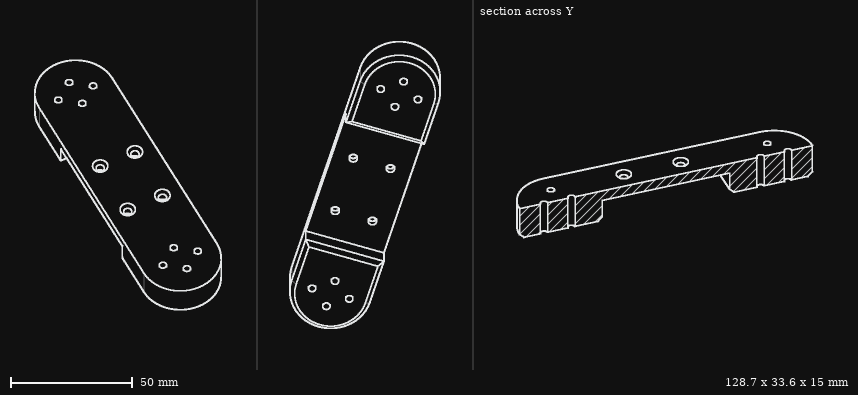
import cadquery as cq

length = 128.65
width = 33.65
height = 15.0
end_radius = width / 2
end_centre_x = length / 2 - end_radius

web_thickness = 5.0
recess_length = 55.75
foot_chamfer = 2.0

screw_diameter = 3.0
diamond_half_x = 6.0
diamond_half_y = 8.0

mount_diameter = 3.4
countersink_diameter = 6.3
countersink_angle = 90.0
mount_spacing_x = 25.0
mount_spacing_y = 16.0
mount_centre_x = 3.0


def make_body():
    """Rounded bar with a full-width recess and chamfered feet."""
    bar = cq.Workplane("XY").slot2D(length, width).extrude(height)
    recess = cq.Workplane("XY").box(
        recess_length, width, height - web_thickness, centered=(True, True, False)
    )
    return bar.cut(recess).faces("<Z").edges().chamfer(foot_chamfer)


def drill_end_holes(body, centre_x):
    """Drill the diamond of plain through holes at one end."""
    centres = [
        (centre_x - diamond_half_x, 0),
        (centre_x + diamond_half_x, 0),
        (centre_x, -diamond_half_y),
        (centre_x, diamond_half_y),
    ]
    top = cq.Workplane("XY", origin=(0, 0, height))
    holes = top.pushPoints(centres).circle(screw_diameter / 2).extrude(-height)
    return body.cut(holes)


def drill_mount_holes(body):
    """Drill the rectangle of through holes countersunk from the top."""
    return (
        body.faces(">Z")
        .workplane(origin=(mount_centre_x, 0, height))
        .rarray(mount_spacing_x, mount_spacing_y, 2, 2)
        .cskHole(mount_diameter, countersink_diameter, countersink_angle)
    )


result = make_body()
for end_side in (-1, 1):
    result = drill_end_holes(result, end_side * end_centre_x)
result = drill_mount_holes(result)